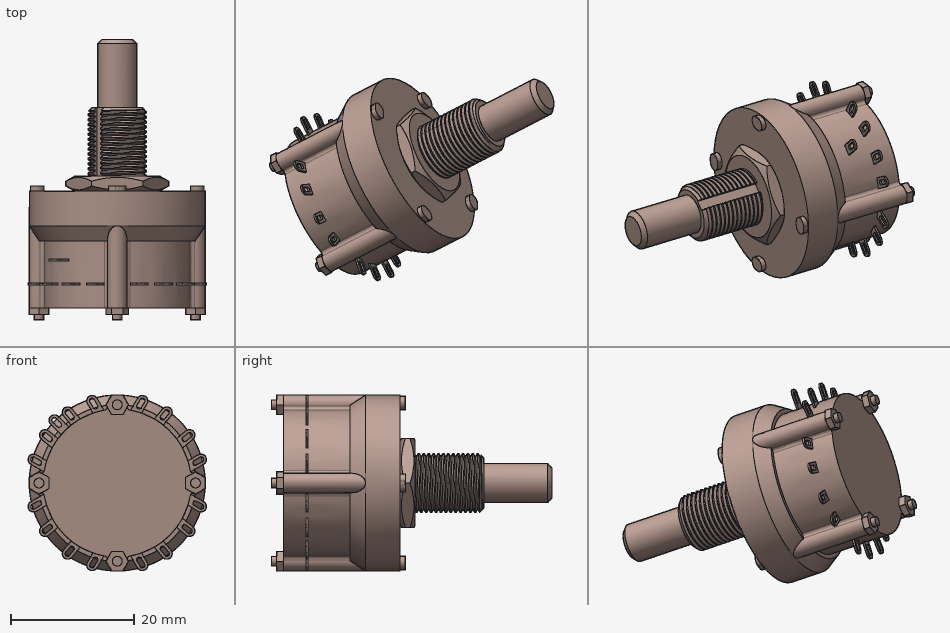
import cadquery as cq
import math

total_length = 45.45

rim_radius = 14.3
rim_depth = 5.65
cone_depth = 2.5
cone_end_radius = 12.75
barrel_radius = 12.0
housing_depth = 18.95

column_radius = 1.6
column_circle = rim_radius - column_radius
column_fillet = 0.6
on_surface_tolerance = 0.01
column_angles = (0, 90, 180, 270)
bolt_nut_flats = 2 * column_radius
bolt_nut_thickness = 1.1
stud_diameter = 1.6
stud_end = 0.8
head_length = 2.85
head_width = 2.25
head_height = 0.8
head_circle = 12.95

shaft_radius = 3.2
shaft_chamfer = 0.75
shaft_tip = total_length - housing_depth - bolt_nut_thickness - stud_end

panel_nut_flats = 14.45
panel_nut_height = 2.4
panel_nut_face_radius = 6.9
panel_nut_chamfer_angle = 30

bushing_radius = 9.5 / 2
bushing_length = 13.55
bushing_chamfer = 0.7
thread_turns = 14
thread_pitch = (bushing_length - panel_nut_height) / thread_turns
thread_depth = 0.5
thread_flank_angle = 30
thread_start = 1.25
thread_clearance = 0.1
keyway_width = 1.7
keyway_floor = 3.77
keyway_angle = 135

terminal_width = 1.77
terminal_thickness = 0.3
terminal_hole_width = 0.8
terminal_hole_length = 1.85
terminal_tail = 3.65
terminal_circle = 13.5
terminal_depth = 15.1
terminal_spread = (-29.2, -10.9, 10.9, 29.2)
terminal_fan_shift = -0.2
quadrant_middle = 45
common_circle = 13.85
common_depth = 11.2
common_angle = 135


def hex_corner_diameter(flats):
    return flats / math.cos(math.radians(30))


def plane_at(y):
    """Workplane facing -Y at the given y, with local x along X and local y along Z."""
    return cq.Workplane("XZ", origin=(0, y, 0))


def turn(piece, angle):
    """Turn a piece about the part's axis, counting from +X towards +Z."""
    return piece.rotate((0, 0, 0), (0, 1, 0), -angle)


def make_housing():
    cone_end = rim_depth + cone_depth
    rim = (
        cq.Workplane("XY")
        .polyline([
            (0, 0),
            (rim_radius, 0),
            (rim_radius, -rim_depth),
            (cone_end_radius, -cone_end),
            (0, -cone_end),
        ])
        .close()
        .revolve(360, (0, 0, 0), (0, 1, 0))
    )
    barrel_length = housing_depth - rim_depth
    barrel = plane_at(-rim_depth).circle(barrel_radius).extrude(barrel_length)
    columns = (
        plane_at(-rim_depth)
        .polarArray(column_circle, 0, 360, len(column_angles))
        .circle(column_radius)
        .extrude(barrel_length)
    )
    body = barrel.union(columns)
    concave = [
        edge for edge in body.edges("|Y").vals()
        if abs(math.hypot(edge.Center().x, edge.Center().z) - barrel_radius) < on_surface_tolerance
    ]
    return rim.union(body.newObject(concave).fillet(column_fillet))


def make_bolt():
    """Nut, stud end and oblong head of the bolt at the +X side."""
    nut_bottom = -housing_depth - bolt_nut_thickness
    nut = (
        plane_at(-housing_depth)
        .center(column_circle, 0)
        .transformed(rotate=(0, 0, 30))
        .polygon(6, hex_corner_diameter(bolt_nut_flats))
        .extrude(bolt_nut_thickness)
    )
    stud = plane_at(nut_bottom).center(column_circle, 0).circle(stud_diameter / 2).extrude(stud_end)
    head = plane_at(0).center(head_circle, 0).slot2D(head_length, head_width, 90).extrude(-head_height)
    return nut, stud, head


def make_groove_turn():
    """One turn of the V-shaped thread groove, starting on the +X side at y = 0."""
    outer = bushing_radius + thread_clearance
    root = bushing_radius - thread_depth
    half_width = (outer - root) * math.tan(math.radians(thread_flank_angle))
    path = cq.Wire.makeHelix(thread_pitch, thread_pitch, bushing_radius)
    groove = (
        cq.Workplane("XZ")
        .polyline([(root, 0), (outer, half_width), (outer, -half_width)])
        .close()
        .sweep(cq.Workplane(obj=path), isFrenet=True)
    )
    return groove.rotate((0, 0, 0), (1, 0, 0), -90)


def make_bushing():
    """Threaded bushing, standing on the outer face of the panel nut."""
    exposed_length = bushing_length - panel_nut_height
    bushing = plane_at(panel_nut_height).circle(bushing_radius).extrude(-exposed_length)
    bushing = bushing.faces(">Y").chamfer(bushing_chamfer)

    groove_turn = make_groove_turn()
    turn_count = math.ceil((bushing_length - thread_start) / thread_pitch + 0.5)
    for index in range(turn_count):
        bushing = bushing.cut(groove_turn.translate((0, thread_start + index * thread_pitch, 0)))

    keyway_depth = 2 * (bushing_radius - keyway_floor)
    keyway = (
        cq.Workplane("XY")
        .box(keyway_depth, exposed_length, keyway_width, centered=(False, False, True))
        .translate((keyway_floor, panel_nut_height, 0))
    )
    return bushing.cut(turn(keyway, keyway_angle))


def make_panel_nut():
    corner_diameter = hex_corner_diameter(panel_nut_flats)
    corner_radius = corner_diameter / 2
    chamfer_run = corner_radius - panel_nut_face_radius
    chamfer = chamfer_run * math.tan(math.radians(panel_nut_chamfer_angle))
    hexagon = plane_at(0).polygon(6, corner_diameter).extrude(-panel_nut_height)
    envelope = (
        plane_at(0)
        .circle(corner_radius)
        .extrude(-panel_nut_height)
        .faces("<Y or >Y")
        .edges()
        .chamfer(chamfer, chamfer_run)
    )
    return hexagon.intersect(envelope)


def make_shaft():
    shaft = plane_at(0).circle(shaft_radius).extrude(-shaft_tip)
    return shaft.faces(">Y").chamfer(shaft_chamfer)


def make_terminal(depth):
    """Flat terminal that points along +X, with its hole centred on the Y axis."""
    tip_offset = (terminal_hole_length - terminal_hole_width) / 2
    half_width = terminal_width / 2
    top = plane_at(-depth + terminal_thickness / 2)
    outline = (
        top
        .moveTo(-terminal_tail, -half_width)
        .lineTo(tip_offset, -half_width)
        .threePointArc((tip_offset + half_width, 0), (tip_offset, half_width))
        .lineTo(-terminal_tail, half_width)
        .close()
        .extrude(terminal_thickness)
    )
    hole = top.slot2D(terminal_hole_length, terminal_hole_width).extrude(terminal_thickness)
    return outline.cut(hole)


def make_terminal_fan():
    """Four terminals around +X that fan out from the point opposite on the terminal circle."""
    fan = []
    for angle in terminal_spread:
        terminal = turn(make_terminal(terminal_depth), angle / 2)
        x = terminal_circle * math.cos(math.radians(angle))
        z = terminal_circle * math.sin(math.radians(angle))
        fan.append(terminal.translate((x, 0, z + terminal_fan_shift)))
    return fan


result = make_housing()
for piece in make_bolt():
    for angle in column_angles:
        result = result.union(turn(piece, angle))

for terminal in make_terminal_fan():
    upper_right = turn(terminal, quadrant_middle)
    upper_pair = [upper_right, upper_right.mirror("YZ")]
    for upper in upper_pair:
        result = result.union(upper).union(upper.mirror("XY"))

common_terminal = make_terminal(common_depth).translate((common_circle, 0, 0))
result = result.union(turn(common_terminal, common_angle))

front_end = make_bushing().union(make_panel_nut()).union(make_shaft())
result = result.union(front_end)